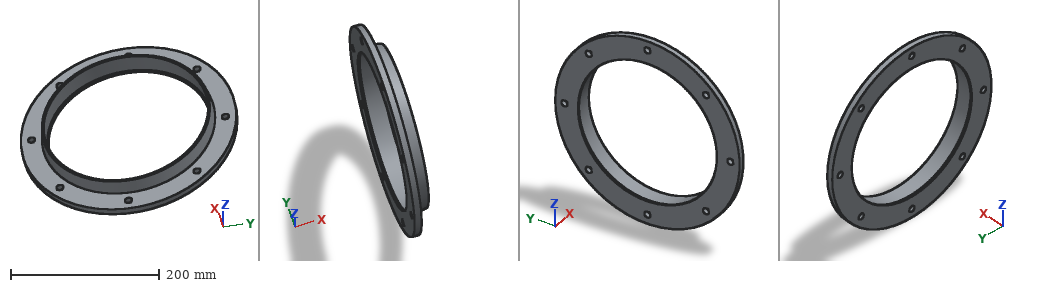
import cadquery as cq

flange_diameter = 295.0
flange_thickness = 10.0
total_length = 30.0

collar_base_diameter = 237.5
collar_end_diameter = 230.5

lip_diameter = 222.0
lip_length = 3.0
bore_diameter = 225.0

bolt_count = 8
bolt_hole_diameter = 9.5
bolt_circle_diameter = 265.2


def ring_body():
    """Flange, tapered collar and stepped bore, revolved about the X axis."""
    profile = [
        (0, lip_diameter / 2),
        (0, flange_diameter / 2),
        (flange_thickness, flange_diameter / 2),
        (flange_thickness, collar_base_diameter / 2),
        (total_length, collar_end_diameter / 2),
        (total_length, bore_diameter / 2),
        (lip_length, bore_diameter / 2),
        (lip_length, lip_diameter / 2),
    ]
    return cq.Workplane("XY").polyline(profile).close().revolve(360, (0, 0, 0), (1, 0, 0))


def bolt_holes():
    """Cutters for the evenly spaced holes through the flange."""
    return (
        cq.Workplane("YZ")
        .polarArray(bolt_circle_diameter / 2, 0, 360, bolt_count)
        .circle(bolt_hole_diameter / 2)
        .extrude(flange_thickness)
    )


result = ring_body().cut(bolt_holes())